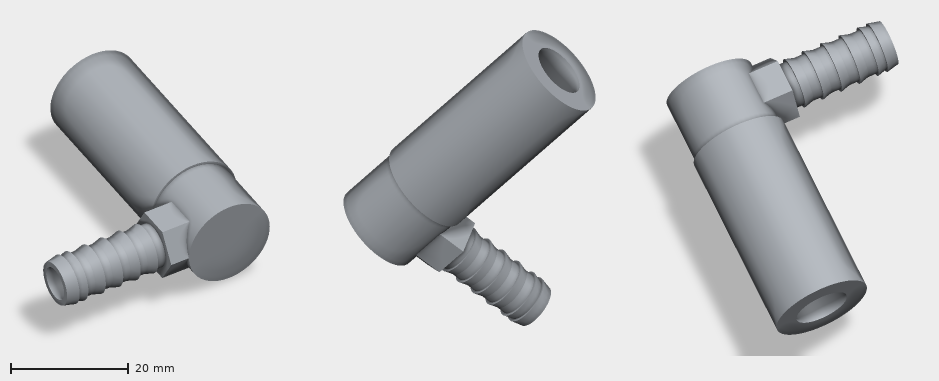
import cadquery as cq

total_length = 45.5
barrel_diameter = 17.0
body_diameter = 16.0
body_length = 12.0
barrel_length = total_length - body_length

socket_diameter = 9.5
socket_depth = barrel_length
bore_diameter = 6.0

branch_x = barrel_length + body_length / 2
branch_reach = 31.0
hex_end_clearance = 0.025
hex_across_corners = body_length - 2 * hex_end_clearance
hex_reach = 11.5

stem_diameter = 8.0
barb_diameter = 9.0
barb_count = 5
barb_length = 1.75
barb_pitch = 2 * barb_length
first_barb = hex_reach + barb_length


def x_cylinder(diameter, start, length):
    """Cylinder on the main axis, running from start towards +X."""
    return cq.Workplane("YZ").workplane(offset=start).circle(diameter / 2).extrude(length)


def branch_workplane():
    """Plane through the main axis, centred on the branch, with its normal along -Y."""
    return cq.Workplane("XZ", origin=(branch_x, 0, 0))


def make_stem():
    """Turned stem with evenly spaced barbs and a tapered tip, rooted on the main axis."""
    stem_radius = stem_diameter / 2
    barb_radius = barb_diameter / 2
    profile = cq.Workplane("XY", origin=(branch_x, 0, 0)).lineTo(stem_radius, 0)
    for index in range(barb_count):
        barb_start = first_barb + index * barb_pitch
        profile = profile.lineTo(stem_radius, -barb_start)
        profile = profile.lineTo(barb_radius, -barb_start)
        profile = profile.lineTo(stem_radius, -barb_start - barb_length)
    tip_start = first_barb + (barb_count - 1) * barb_pitch + barb_length
    profile = profile.lineTo(barb_radius, -tip_start)
    profile = profile.lineTo(stem_radius, -branch_reach)
    return profile.lineTo(0, -branch_reach).close().revolve(360, (0, 0), (0, 1))


def make_branch():
    """Hexagonal neck with the barbed stem running through it."""
    neck = branch_workplane().polygon(6, hex_across_corners).extrude(hex_reach)
    return neck.union(make_stem())


def make_passage():
    """Socket followed by one bore that turns a mitred corner onto the branch axis."""
    socket = x_cylinder(socket_diameter, 0, socket_depth)
    route = cq.Workplane("XY").lineTo(branch_x, 0).lineTo(branch_x, -branch_reach)
    bore = cq.Workplane("YZ").circle(bore_diameter / 2).sweep(route, transition="right")
    return socket.union(bore)


barrel = x_cylinder(barrel_diameter, 0, barrel_length)
body = x_cylinder(body_diameter, barrel_length, body_length)
result = barrel.union(body).union(make_branch()).cut(make_passage())